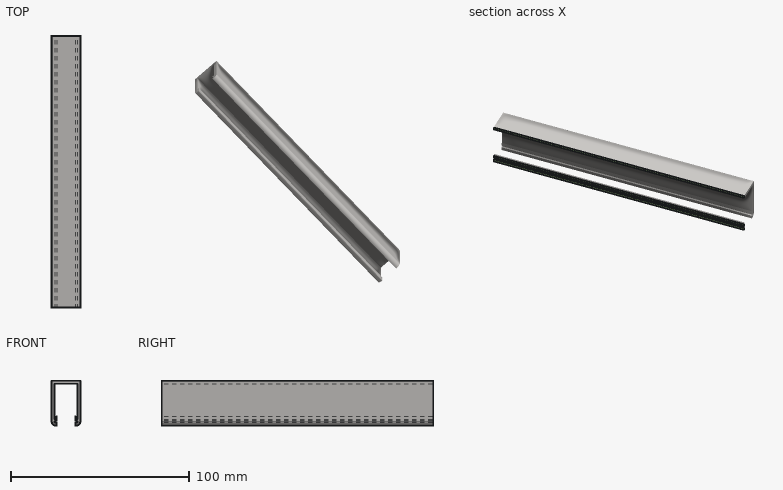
import cadquery as cq

width = 16.3
length = 152.4
height = 25.5

wall = 1.8
top_edge_radius = 0.5
bottom_edge_radius = 2.7

lip_depth = 2.9
foot_height = 2.0
groove_side_height = 2.5
barb_low_height = 3.2
notch_height = 3.8
barb_tip_height = 5.3

half_width = width / 2
half_cavity = half_width - wall
half_opening = half_width - lip_depth


def channel_body():
    """Inverted U with small rounds on top and large rounds on the feet."""
    body = cq.Workplane("XY").box(width, length, height, centered=(True, True, False))
    body = body.edges("|Y and >Z").fillet(top_edge_radius)
    return body.edges("|Y and <Z").fillet(bottom_edge_radius)


def cavity():
    """Full-length void, outlined from one side of the opening to the other."""
    right_side = [
        (half_opening, 0),
        (half_opening, foot_height),
        (half_cavity, foot_height),
        (half_cavity, groove_side_height),
        (half_opening, barb_low_height),
        (half_opening, barb_tip_height),
        (half_cavity, notch_height),
        (half_cavity, height - wall),
    ]
    left_side = [(-x, z) for x, z in reversed(right_side)]
    outline = cq.Workplane("XZ").polyline(right_side + left_side).close()
    return outline.extrude(length / 2, both=True)


result = channel_body().cut(cavity())